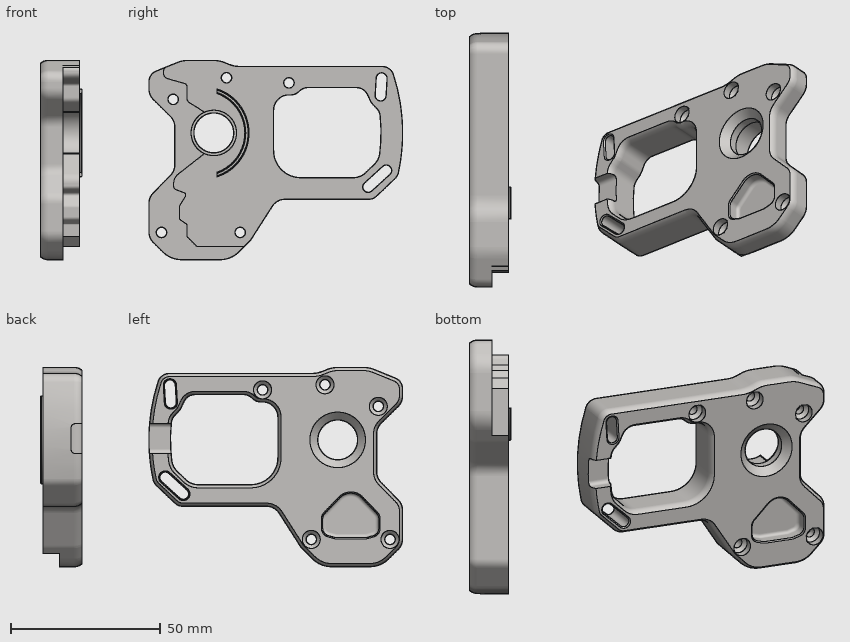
import cadquery as cq
import math

thickness = 13.2
length = 85.0
height = 66.8
axle_y = 21.75
axle_z = 42.5
arm_top = 64.75
arm_bottom = 20.2
neck_y = 8.7

edge_radius = 3.7
edge_angle = math.radians(45)
trimmed_depth = edge_radius * (1 - math.sin(edge_angle))

clear = 4.25
tolerance = 0.1

end_radius = length - axle_y
window_end_radius = 55.9

small_radius = 4.0
medium_radius = 5.0
wide_radius = 6.0
large_radius = 9.0
sweep_radius = 10.0


def arc_y(radius, z):
    """Y of the point at height z on the +Y side of a circle about the axle."""
    return axle_y + math.sqrt(radius**2 - (z - axle_z) ** 2)


def prism(corners, x_start, x_end, end_arc_radius=None):
    """Extrude (y, z, corner radius) corners along X and round each corner.

    With end_arc_radius, the side from the last corner back to the first
    is an arc about the axle.
    """
    points = [(y, z) for y, z, _ in corners]
    outline = cq.Workplane("YZ", origin=(x_start, 0, 0)).polyline(points)
    if end_arc_radius:
        outline = outline.threePointArc((axle_y + end_arc_radius, axle_z), points[0])
    body = outline.close().extrude(x_end - x_start)
    for y, z, radius in corners:
        if radius:
            edge = cq.selectors.NearestToPointSelector(((x_start + x_end) / 2, y, z))
            body = body.edges("|X").edges(edge).fillet(radius)
    return body


arm_corner_z = 28.05
outer_corners = [
    (arc_y(end_radius, arm_top), arm_top, small_radius),
    (28.5, arm_top, sweep_radius),
    (23.6, height, sweep_radius),
    (11.3, height, sweep_radius),
    (0, 62.2, small_radius),
    (0, 55.15, medium_radius),
    (neck_y, 46.6, medium_radius),
    (neck_y, 29.75, medium_radius),
    (0, 20.9, medium_radius),
    (0, 7.3, medium_radius),
    (7.3, 0, large_radius),
    (27.5, 0, large_radius),
    (34.1, 6.55, medium_radius),
    (42.8, arm_bottom, medium_radius),
    (75.1, arm_bottom, small_radius),
    (arc_y(end_radius, arm_corner_z), arm_corner_z, small_radius),
]

window_top = 57.6
window_bottom = 27.5
window_side = 41.8
boss_bottom = 55.15
window_step_z = 49.6
window_slant_z = 33.4
window_corners = [
    (arc_y(window_end_radius, window_step_z), window_step_z, small_radius),
    (74.4, 52.6, small_radius),
    (72.1, window_top, small_radius),
    (51.7, window_top, small_radius),
    (49.0, boss_bottom, small_radius),
    (window_side, boss_bottom, medium_radius),
    (window_side, window_bottom, large_radius),
    (70.9, window_bottom, wide_radius),
    (arc_y(window_end_radius, window_slant_z), window_slant_z, wide_radius),
]


def rounded_plate():
    """Plate with its front edge rounded, still untrimmed at the front."""
    body = prism(outer_corners, -trimmed_depth, thickness, end_radius)
    return body.faces("<X").edges().fillet(edge_radius)


def window_frame():
    """Oversize block around the window, with the window's front edge rounded."""
    opening = prism(window_corners, -trimmed_depth, thickness, window_end_radius)
    block = cq.Workplane("XY").box(
        thickness + trimmed_depth, length + 2 * clear, height + 2 * clear, centered=False
    )
    block = block.translate((-trimmed_depth, -clear, -clear))
    window_rim = cq.selectors.BoxSelector(
        (-trimmed_depth - tolerance, 0, 0), (-trimmed_depth + tolerance, length, height)
    )
    return block.cut(opening).edges(window_rim).fillet(edge_radius)


body = rounded_plate().intersect(window_frame())
front_trim = cq.Workplane("XY").box(trimmed_depth, length, height, centered=False)
body = body.cut(front_trim.translate((-trimmed_depth, 0, 0)))

flange_thickness = 7.65
nose_y = 4.9
nose_root_y = 7.0
nose_top = 65.0
nose_radius = 1.95
wall_y = 12.75
wall_bottom = 4.4
rib_y = 10.2
bore_edge_y = 18.35
bore_half_gap = 7.1
foot_y = 8.3
back_relief_corners = [
    (-clear, height + clear, 0),
    (nose_root_y, height + clear, 0),
    (nose_root_y, nose_top, 0),
    (nose_y, nose_top, nose_radius),
    (nose_y, 61.0, nose_radius),
    (wall_y, 58.8, 1.0),
    (wall_y, 53.1, nose_radius),
    (bore_edge_y, axle_z + bore_half_gap, 0),
    (bore_edge_y, axle_z - bore_half_gap, 0),
    (foot_y, 27.5, small_radius),
    (foot_y, 23.8, 1.3),
    (wall_y, 22.1, 0.85),
    (rib_y, 17.85, 1.7),
    (rib_y, 13.6, 1.3),
    (wall_y, 11.9, 0.4),
    (wall_y, 7.8, 0),
    (16.15, wall_bottom, 0),
    (length, wall_bottom, 0),
    (length, -clear, 0),
    (-clear, -clear, 0),
]
body = body.cut(prism(back_relief_corners, flange_thickness, thickness + clear))

lip_height = 0.85
lip_radius = 15.5
lip_width = 1.45
lip_center_y = 18.1
lip_start_y = 22.8
lip_chamfer = 0.3
lip_ring = (
    cq.Workplane("YZ", origin=(thickness - lip_height, lip_center_y, axle_z))
    .circle(lip_radius)
    .circle(lip_radius - lip_width)
    .extrude(2 * lip_height)
    .faces(">X")
    .chamfer(lip_chamfer)
)
lip_side = cq.Workplane("XY").box(2 * thickness, length, height, centered=False)
body = body.union(lip_ring.intersect(lip_side.translate((0, lip_start_y, 0))))

throat_diameter = 13.25
seat_diameter = 15.2
mouth_diameter = 18.6
mouth_depth = 2.6
seat_start = 5.6
axle_cut = (
    cq.Workplane("XY")
    .moveTo(0, 0)
    .lineTo(0, mouth_diameter / 2)
    .lineTo(mouth_depth, throat_diameter / 2)
    .lineTo(seat_start, throat_diameter / 2)
    .lineTo(seat_start, seat_diameter / 2)
    .lineTo(thickness + clear, seat_diameter / 2)
    .lineTo(thickness + clear, 0)
    .close()
    .revolve(360, (0, 0, 0), (1, 0, 0))
    .translate((0, axle_y, axle_z))
)
body = body.cut(axle_cut)

screw_diameter = 3.4
head_diameter = 6.0
head_recess = 3.0
cone_depth = (head_diameter - screw_diameter) / 2
screw_positions = [(46.9, 59.2), (26.0, 60.9), (8.2, 53.7), (30.6, 9.2), (4.25, 9.2)]
screw_cut = (
    cq.Workplane("XY")
    .moveTo(-clear, 0)
    .lineTo(-clear, head_diameter / 2)
    .lineTo(head_recess, head_diameter / 2)
    .lineTo(head_recess + cone_depth, screw_diameter / 2)
    .lineTo(thickness + clear, screw_diameter / 2)
    .lineTo(thickness + clear, 0)
    .close()
    .revolve(360, (0, 0, 0), (1, 0, 0))
)
for y, z in screw_positions:
    body = body.cut(screw_cut.translate((0, y, z)))

slot_width = 3.6
slot_chamfer = 0.4


def slot_cut(start, end):
    """Through slot between two end centers, chamfered at the front face."""
    dy = end[0] - start[0]
    dz = end[1] - start[1]
    span = math.hypot(dy, dz)
    rim_width = slot_width + 2 * slot_chamfer
    tool = cq.Workplane("YZ").slot2D(span + slot_width, slot_width).extrude(thickness)
    flare = cq.Workplane("YZ").slot2D(span + rim_width, rim_width).extrude(slot_chamfer, taper=45)
    return (
        tool.union(flare)
        .rotate((0, 0, 0), (1, 0, 0), math.degrees(math.atan2(dz, dy)))
        .translate((0, (start[0] + end[0]) / 2, (start[1] + end[1]) / 2))
    )


body = body.cut(slot_cut((77.9, 60.8), (77.6, 55.0)))
body = body.cut(slot_cut((79.45, 29.9), (73.4, 24.4)))

channel_depth = 3.7
channel_bottom = 37.9
channel_top = 47.9
channel_fillet = 1.45
channel_start_y = 72.2
channel_length = 17.0
channel = (
    cq.Workplane("XY")
    .box(channel_depth, channel_length, channel_top - channel_bottom, centered=False)
    .edges("|Y and >X")
    .fillet(channel_fillet)
    .translate((0, channel_start_y, channel_bottom))
)
body = body.cut(channel)

pocket_depth = 4.8
pocket_rim_chamfer = 0.4
pocket_floor_radius = 1.2
pocket_left = 26.8
pocket_right = 8.0
pocket_bottom = 9.8
pocket_top = 26.85
pocket_corner_radius = 2.55
pocket_corners = [
    (pocket_left, 11.0, pocket_corner_radius),
    (pocket_left, 17.2, pocket_corner_radius),
    (17.3, pocket_top, medium_radius),
    (pocket_right, 17.2, pocket_corner_radius),
    (pocket_right, 11.0, pocket_corner_radius),
    (12.2, pocket_bottom, pocket_corner_radius),
    (22.4, pocket_bottom, pocket_corner_radius),
]
pocket = prism(pocket_corners, 0, pocket_depth).faces(">X").edges().fillet(pocket_floor_radius)
body = body.cut(pocket)
pocket_rim = cq.selectors.BoxSelector(
    (-tolerance, pocket_right - tolerance, pocket_bottom - tolerance),
    (tolerance, pocket_left + tolerance, pocket_top + tolerance),
)
body = body.edges(pocket_rim).chamfer(pocket_rim_chamfer)

result = body